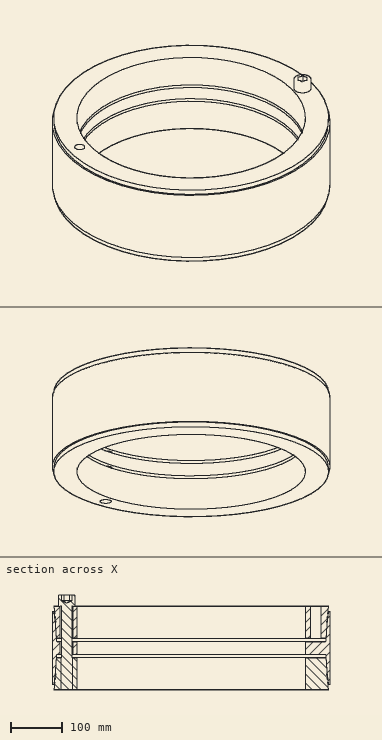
import cadquery as cq
import math

sleeve_diameter = 535.0
end_ring_diameter = 529.5
taper_slope = 0.09
bore_diameter = 440.0
ring_stack_height = 161.0
end_projection = 10.0
rib_height = 25.0
rib_gap = 6.0

bolt_circle_radius = 239.5
screw_diameter = 22.0
clearance_diameter = 24.0
jacking_hole_diameter = 19.0
head_diameter = 33.0
head_height = 22.0
head_fillet = 2.0
socket_across_flats = 17.0
socket_depth = 10.5
socket_cone_height = 5.0

sleeve_height = ring_stack_height - 2 * end_projection
rib_bottom = (ring_stack_height - rib_height) / 2
end_ring_height = rib_bottom - rib_gap
upper_ring_bottom = ring_stack_height - end_ring_height
screw_y = bolt_circle_radius
jacking_hole_y = -bolt_circle_radius


def cylinder(diameter, bottom, height, y=0):
    """Upright cylinder centred at X = 0."""
    return cq.Workplane("XY", origin=(0, y, bottom)).circle(diameter / 2).extrude(height)


def taper(depth):
    """Solid cone frustum from the outer end face at Z = 0, narrowing upwards."""
    outer_radius = end_ring_diameter / 2
    inner_radius = outer_radius - taper_slope * depth
    return cq.Workplane(cq.Solid.makeCone(outer_radius, inner_radius, depth))


def mirror_to_top(body):
    """Mirror a body about the middle plane of the ring stack."""
    return body.mirror("XY", (0, 0, ring_stack_height / 2))


def make_sleeve():
    """Outer sleeve with two tapered seats and an inner rib that the screw passes through."""
    body = cylinder(sleeve_diameter, end_projection, sleeve_height)
    lower_seat = taper(rib_bottom)
    upper_seat = mirror_to_top(lower_seat)
    bore = cylinder(bore_diameter, 0, ring_stack_height)
    screw_hole = cylinder(clearance_diameter, rib_bottom, rib_height, screw_y)
    return body.cut(lower_seat).cut(upper_seat).cut(bore).cut(screw_hole)


def make_end_ring():
    """Tapered clamping ring in the lower seat, before its holes are cut."""
    return taper(end_ring_height).cut(cylinder(bore_diameter, 0, end_ring_height))


def make_lower_ring():
    """Lower clamping ring with the hole that holds the screw thread."""
    thread_hole = cylinder(screw_diameter, 0, end_ring_height, screw_y)
    return make_end_ring().cut(thread_hole)


def make_upper_ring():
    """Upper clamping ring with a screw clearance hole and a jacking hole."""
    screw_hole = cylinder(clearance_diameter, upper_ring_bottom, end_ring_height, screw_y)
    jacking_hole = cylinder(jacking_hole_diameter, upper_ring_bottom, end_ring_height, jacking_hole_y)
    return mirror_to_top(make_end_ring()).cut(screw_hole).cut(jacking_hole)


def make_screw():
    """Socket head screw whose hexagonal socket ends in a shallow cone."""
    head = cylinder(head_diameter, ring_stack_height, head_height, screw_y)
    head = head.faces(">Z").edges().fillet(head_fillet)
    shank = cylinder(screw_diameter, 0, ring_stack_height, screw_y)

    head_top = ring_stack_height + head_height
    cone_tip = head_top - socket_depth - socket_cone_height
    across_corners = socket_across_flats / math.cos(math.pi / 6)
    hexagon = (
        cq.Workplane("XY", origin=(0, screw_y, cone_tip))
        .transformed(rotate=(0, 0, 90))
        .polygon(6, across_corners)
        .extrude(head_top - cone_tip)
    )
    pointed_bore = (
        cq.Workplane("XZ", origin=(0, screw_y, cone_tip))
        .lineTo(across_corners / 2, socket_cone_height)
        .lineTo(across_corners / 2, head_top - cone_tip)
        .lineTo(0, head_top - cone_tip)
        .close()
        .revolve(360, (0, 0), (0, 1))
    )
    socket = hexagon.intersect(pointed_bore)
    return head.union(shank).cut(socket)


sleeve = make_sleeve()
lower_ring = make_lower_ring()
upper_ring = make_upper_ring()
screw = make_screw()

result = cq.Compound.makeCompound([sleeve.val(), lower_ring.val(), upper_ring.val(), screw.val()])